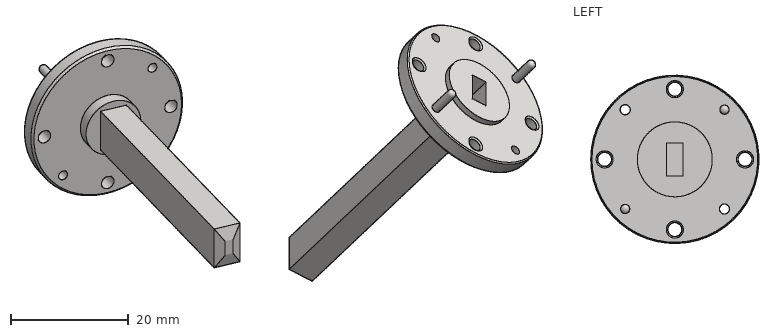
import cadquery as cq
import math

pin_tip_x = 0.0
boss_face_x = 4.1
flange_front_x = 5.15
flange_back_x = 8.3
collar_end_x = 10.55
tube_end_x = 55.0
overall_length = 55.8

flange_diameter = 28.55
flange_front_chamfer = 0.2
flange_back_chamfer = 0.4
boss_diameter = 12.7
collar_diameter = 10.3

tube_width = 4.85
tube_height = 7.6
tip_width = 1.5
tip_height = 2.75
guide_width = 2.85
guide_height = 5.65
end_wall = (tube_width - guide_width) / 2

pitch_radius = 23.8 / 2
screw_hole_diameter = 2.35
screw_hole_chamfer = 0.3
alignment_hole_diameter = 1.7
pin_diameter = 1.55
pin_tip_fillet = 0.65
screw_angles = (0, 90, 180, 270)
alignment_hole_angles = (45, 225)
pin_angles = (135, 315)


def plane_at(x):
    """Sketch plane facing +X, with local axes along Y and Z."""
    return cq.Workplane("YZ", origin=(x, 0, 0))


def on_pitch_circle(angles):
    """Y, Z points on the pitch circle, with angles in degrees from +Y."""
    points = []
    for angle in angles:
        turn = math.radians(angle)
        points.append((pitch_radius * math.cos(turn), pitch_radius * math.sin(turn)))
    return points


def make_flange():
    thickness = flange_back_x - flange_front_x
    flange = plane_at(flange_front_x).circle(flange_diameter / 2).extrude(thickness)
    flange = flange.faces("<X").chamfer(flange_front_chamfer)
    flange = flange.faces(">X").chamfer(flange_back_chamfer)

    screw_holes = (
        plane_at(flange_front_x)
        .pushPoints(on_pitch_circle(screw_angles))
        .circle(screw_hole_diameter / 2)
        .extrude(thickness)
    )
    for y, z in on_pitch_circle(screw_angles):
        mouth = cq.Solid.makeCone(
            screw_hole_diameter / 2 + screw_hole_chamfer,
            screw_hole_diameter / 2,
            screw_hole_chamfer,
            cq.Vector(flange_front_x, y, z),
            cq.Vector(1, 0, 0),
        )
        flange = flange.cut(cq.Workplane(mouth))

    alignment_holes = (
        plane_at(flange_front_x)
        .pushPoints(on_pitch_circle(alignment_hole_angles))
        .circle(alignment_hole_diameter / 2)
        .extrude(thickness)
    )
    return flange.cut(screw_holes).cut(alignment_holes)


def make_pins():
    """Round-nosed pins seated through the full flange thickness."""
    return (
        plane_at(pin_tip_x)
        .pushPoints(on_pitch_circle(pin_angles))
        .circle(pin_diameter / 2)
        .extrude(flange_back_x - pin_tip_x)
        .faces("<X")
        .edges()
        .fillet(pin_tip_fillet)
    )


def make_tube():
    """Rectangular bar ending in a truncated pyramid."""
    bar = plane_at(flange_back_x).rect(tube_width, tube_height).extrude(tube_end_x - flange_back_x)
    tip = (
        plane_at(tube_end_x)
        .rect(tube_width, tube_height)
        .workplane(offset=overall_length - tube_end_x)
        .rect(tip_width, tip_height)
        .loft(ruled=True)
    )
    return bar.union(tip)


boss = plane_at(boss_face_x).circle(boss_diameter / 2).extrude(flange_front_x - boss_face_x)
collar = plane_at(flange_back_x).circle(collar_diameter / 2).extrude(collar_end_x - flange_back_x)

guide_depth = tube_end_x - end_wall - boss_face_x
guide = plane_at(boss_face_x).rect(guide_width, guide_height).extrude(guide_depth)

result = make_flange().union(boss).union(collar).union(make_pins()).union(make_tube()).cut(guide)